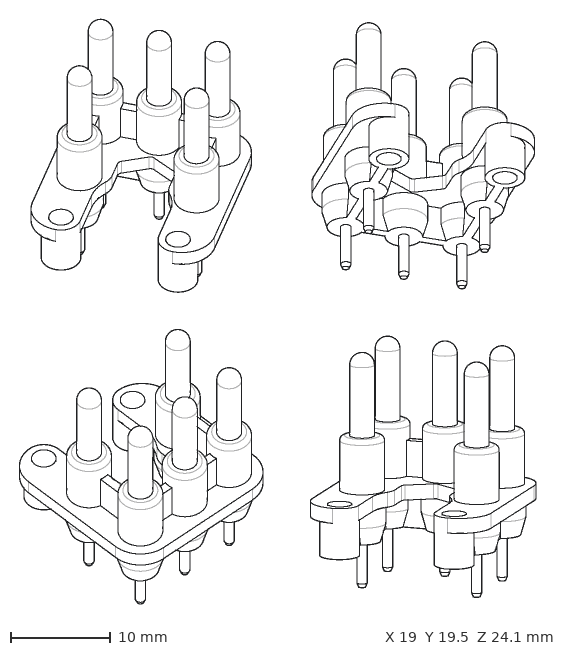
import cadquery as cq
import math

pitch_x = 6.1
pitch_y = 7.5
hole_y = -14.1
contact_positions = [
    (-pitch_x, 0), (0, 0), (pitch_x, 0),
    (-pitch_x, -pitch_y), (pitch_x, -pitch_y),
]
hole_positions = [(-pitch_x, hole_y), (pitch_x, hole_y)]

body_bottom = 4.75
boss_taper_top = 6.6
plate_bottom = 8.45
plate_top = 10.0
plate_middle = (plate_bottom + plate_top) / 2
rib_top = 13.7
socket_top = 15.6
pin_top = 24.1

plate_margin = 3.4
foot_radius = 2.0
hole_diameter = 2.45

leg_inner_x = pitch_x - foot_radius
notch_half_width = 3.0
notch_shoulder_y = -4.27
notch_roof_angle = 30
notch_corner_radius = 0.5
notch_blend_radius = 2.0
notch_round_center_y = -10.0

socket_diameter = 4.5
socket_edge_radius = 0.5
boss_diameter = 4.8
boss_tip_diameter = 3.75
pin_diameter = 2.5
tail_diameter = 1.05
tail_tip_diameter = 0.7
tail_tip_height = 0.43

rib_thickness = 1.0

DIAGONAL = math.sqrt(0.5)


def make_plate():
    """U-shaped plate: wide outer corners, and leg ends rounded about the holes."""
    outer_x = pitch_x + plate_margin
    front_y = hole_y - foot_radius
    outer_arc_y = front_y + plate_margin
    back_arc_mid = (pitch_x + plate_margin * DIAGONAL, plate_margin * DIAGONAL)
    front_arc_mid = (pitch_x + plate_margin * DIAGONAL, outer_arc_y - plate_margin * DIAGONAL)
    foot_arc_mid = (pitch_x - foot_radius * DIAGONAL, hole_y - foot_radius * DIAGONAL)

    blend_center_x = notch_half_width + notch_blend_radius
    center_distance = leg_inner_x + notch_blend_radius
    blend_angle = math.acos(blend_center_x / center_distance)
    blend_center_y = notch_round_center_y + center_distance * math.sin(blend_angle)

    def on_round(angle):
        return (leg_inner_x * math.cos(angle), notch_round_center_y + leg_inner_x * math.sin(angle))

    def on_blend(angle):
        return (
            blend_center_x - notch_blend_radius * math.cos(angle),
            blend_center_y - notch_blend_radius * math.sin(angle),
        )

    roof_rise = notch_half_width * math.tan(math.radians(notch_roof_angle))
    apex = (0, notch_shoulder_y + roof_rise)
    right_half = (
        cq.Workplane("XY", origin=(0, 0, plate_bottom))
        .moveTo(0, plate_margin)
        .lineTo(pitch_x, plate_margin)
        .threePointArc(back_arc_mid, (outer_x, 0))
        .lineTo(outer_x, outer_arc_y)
        .threePointArc(front_arc_mid, (pitch_x, front_y))
        .threePointArc(foot_arc_mid, (leg_inner_x, hole_y))
        .lineTo(*on_round(0))
        .threePointArc(on_round(blend_angle / 2), on_round(blend_angle))
        .threePointArc(on_blend(blend_angle / 2), on_blend(0))
        .lineTo(notch_half_width, notch_shoulder_y)
        .lineTo(*apex)
        .close()
        .extrude(plate_top - plate_bottom)
    )
    plate = right_half.union(right_half.mirror("YZ")).clean()
    notch_corners = [apex] + [(side * notch_half_width, notch_shoulder_y) for side in (-1, 1)]
    for x, y in notch_corners:
        corner_edge = cq.selectors.NearestToPointSelector((x, y, plate_middle))
        plate = plate.edges("|Z").edges(corner_edge).fillet(notch_corner_radius)
    return plate


def make_foot(side):
    """Round foot below one leg, split where the plate edge shares its rounding."""
    inner_x = -side * foot_radius
    return (
        cq.Workplane("XY", origin=(side * pitch_x, hole_y, body_bottom))
        .moveTo(0, -foot_radius)
        .threePointArc((inner_x * DIAGONAL, -foot_radius * DIAGONAL), (inner_x, 0))
        .threePointArc((-inner_x * DIAGONAL, foot_radius * DIAGONAL), (0, -foot_radius))
        .close()
        .extrude(plate_bottom - body_bottom)
    )


def make_contact():
    """One contact on the Z axis: tail, tapered boss, socket and round-ended pin."""
    tail_radius = tail_diameter / 2
    boss_radius = boss_diameter / 2
    socket_radius = socket_diameter / 2
    pin_radius = pin_diameter / 2
    edge_center_x = socket_radius - socket_edge_radius
    edge_center_z = socket_top - socket_edge_radius
    edge_mid = (
        edge_center_x + socket_edge_radius * DIAGONAL,
        edge_center_z + socket_edge_radius * DIAGONAL,
    )
    dome_center_z = pin_top - pin_radius
    dome_mid = (pin_radius * DIAGONAL, dome_center_z + pin_radius * DIAGONAL)
    return (
        cq.Workplane("XZ")
        .lineTo(tail_tip_diameter / 2, 0)
        .lineTo(tail_radius, tail_tip_height)
        .lineTo(tail_radius, body_bottom)
        .lineTo(boss_tip_diameter / 2, body_bottom)
        .lineTo(boss_radius, boss_taper_top)
        .lineTo(boss_radius, plate_bottom)
        .lineTo(socket_radius, plate_bottom)
        .lineTo(socket_radius, edge_center_z)
        .threePointArc(edge_mid, (edge_center_x, socket_top))
        .lineTo(pin_radius, socket_top)
        .lineTo(pin_radius, dome_center_z)
        .threePointArc(dome_mid, (0, pin_top))
        .close()
        .revolve(360, (0, 0, 0), (0, 1, 0))
    )


def make_wall(start, end, bottom, top):
    """Upright rib between two points, parallel to X or Y."""
    length_x = abs(end[0] - start[0]) or rib_thickness
    length_y = abs(end[1] - start[1]) or rib_thickness
    center = ((start[0] + end[0]) / 2, (start[1] + end[1]) / 2, bottom)
    return cq.Workplane("XY", origin=center).rect(length_x, length_y).extrude(top - bottom)


result = make_plate()

for side in (-1, 1):
    result = result.union(make_foot(side))

result = result.union(make_wall((-pitch_x, 0), (pitch_x, 0), body_bottom, rib_top))
for leg_x in (-pitch_x, pitch_x):
    result = result.union(make_wall((leg_x, 0), (leg_x, -pitch_y), plate_middle, rib_top))
    result = result.union(make_wall((leg_x, 0), (leg_x, hole_y), body_bottom, plate_middle))

contact = make_contact()
for x, y in contact_positions:
    result = result.union(contact.translate((x, y, 0)))

holes = (
    cq.Workplane("XY", origin=(0, 0, body_bottom))
    .pushPoints(hole_positions)
    .circle(hole_diameter / 2)
    .extrude(plate_top - body_bottom)
)
result = result.cut(holes)